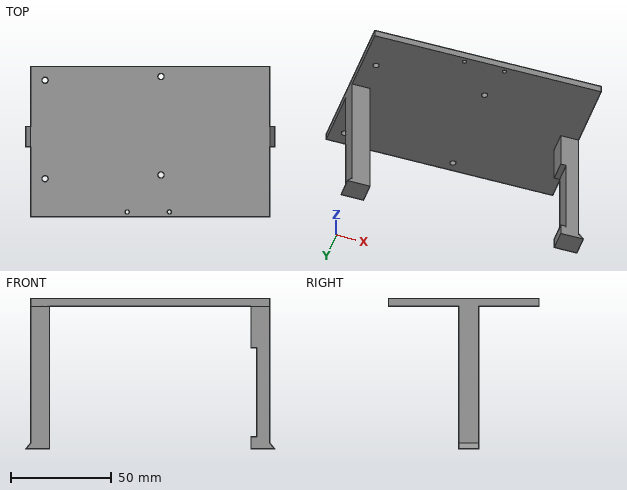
import cadquery as cq

total_length = 124.2
table_width = 75.0
total_height = 75.0

foot_flare = 2.5
foot_height = 3.0

plate_length = total_length - 2 * foot_flare
plate_thickness = 4.0
plate_end = plate_length / 2
plate_bottom = total_height - plate_thickness

leg_depth = 9.5
leg_width = 10.2
leg_center_y = 2.5
leg_inner = plate_end - leg_depth

recess_depth = 2.9
recess_bottom = 6.2
recess_top = 50.5

large_diameter = 3.0
large_pair_pitch = 49.1
left_pair_x = -52.4
left_pair_y = 6.1
middle_pair_x = 5.3
middle_pair_y = 8.0
small_diameter = 2.0
small_pair_pitch = 21.0
small_pair_x = -1.0
small_pair_y = -35.0


def make_plate():
    return (
        cq.Workplane("XY")
        .workplane(offset=plate_bottom)
        .rect(plate_length, table_width)
        .extrude(plate_thickness)
    )


def make_leg(side):
    """Leg with a flared foot; side is -1 for the left end, 1 for the right end."""
    outline = [
        (leg_inner, 0),
        (plate_end + foot_flare, 0),
        (plate_end, foot_height),
        (plate_end, total_height),
        (leg_inner, total_height),
    ]
    return (
        cq.Workplane("XZ", origin=(0, leg_center_y, 0))
        .polyline([(side * x, z) for x, z in outline])
        .close()
        .extrude(leg_width / 2, both=True)
    )


def make_recess():
    return cq.Workplane("XY").box(
        recess_depth, leg_width, recess_top - recess_bottom, centered=(False, True, False)
    ).translate((leg_inner, leg_center_y, recess_bottom))


def make_holes(diameter, centers):
    return (
        cq.Workplane("XY")
        .workplane(offset=plate_bottom)
        .pushPoints(centers)
        .circle(diameter / 2)
        .extrude(plate_thickness)
    )


large_centers = [
    (x, y + side * large_pair_pitch / 2)
    for x, y in [(left_pair_x, left_pair_y), (middle_pair_x, middle_pair_y)]
    for side in (-1, 1)
]
small_centers = [(small_pair_x + side * small_pair_pitch / 2, small_pair_y) for side in (-1, 1)]

result = make_plate()
for end in (-1, 1):
    result = result.union(make_leg(end))
result = result.cut(make_recess())
result = result.cut(make_holes(large_diameter, large_centers))
result = result.cut(make_holes(small_diameter, small_centers))